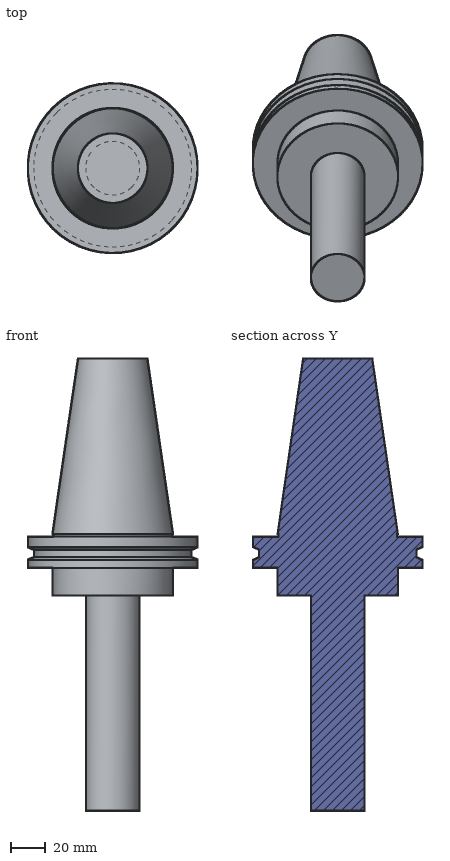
import cadquery as cq

total_length = 261.5

shank_diameter = 31.0
collar_diameter = 69.8
flange_diameter = 98.4
groove_diameter = 91.3
gauge_diameter = 69.8
neck_diameter = 69.0

taper_length = 101.5
neck_length = 1.5
flange_thickness = 18.0
collar_length = 16.0
groove_floor_width = 4.2
groove_wall_height = 1.5
lower_rim_thickness = 4.7

taper_rate = 7 / 24
tip_diameter = gauge_diameter - taper_length * taper_rate

gauge_z = total_length - taper_length
flange_top_z = gauge_z - neck_length
flange_bottom_z = flange_top_z - flange_thickness
collar_bottom_z = flange_bottom_z - collar_length
groove_bottom_z = flange_bottom_z + lower_rim_thickness
groove_floor_bottom_z = groove_bottom_z + groove_wall_height
groove_floor_top_z = groove_floor_bottom_z + groove_floor_width
groove_top_z = groove_floor_top_z + groove_wall_height


def revolve_profile(outline):
    """Revolve an outline of (radius, Z) points about the Z axis."""
    return cq.Workplane("XZ").polyline(outline).close().revolve(360, (0, 0, 0), (0, 1, 0))


def cylinder(diameter, bottom_z, top_z):
    """Cylinder on the Z axis between two levels."""
    return cq.Workplane("XY").workplane(offset=bottom_z).circle(diameter / 2).extrude(top_z - bottom_z)


def make_taper():
    """Cone from the gauge line up to the narrow tip."""
    return revolve_profile([
        (0, gauge_z),
        (gauge_diameter / 2, gauge_z),
        (tip_diameter / 2, total_length),
        (0, total_length),
    ])


def make_flange():
    """Flange with a sloped-wall gripper groove around its rim."""
    rim_radius = flange_diameter / 2
    floor_radius = groove_diameter / 2
    return revolve_profile([
        (0, flange_bottom_z),
        (rim_radius, flange_bottom_z),
        (rim_radius, groove_bottom_z),
        (floor_radius, groove_floor_bottom_z),
        (floor_radius, groove_floor_top_z),
        (rim_radius, groove_top_z),
        (rim_radius, flange_top_z),
        (0, flange_top_z),
    ])


shank = cylinder(shank_diameter, 0, collar_bottom_z)
collar = cylinder(collar_diameter, collar_bottom_z, flange_bottom_z)
neck = cylinder(neck_diameter, flange_top_z, gauge_z)

result = shank.union(collar).union(make_flange()).union(neck).union(make_taper())